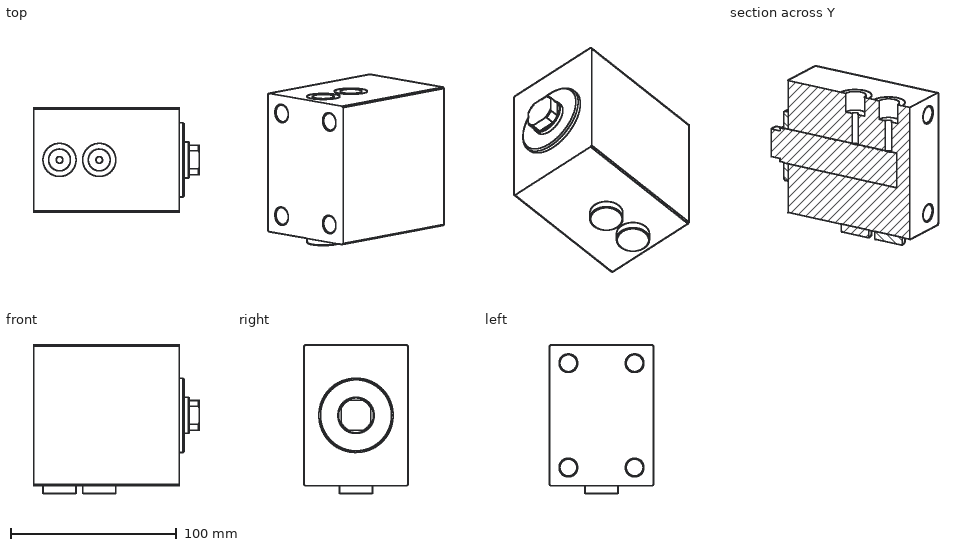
import cadquery as cq
import math


BLOCK_LENGTH = 88
BLOCK_WIDTH = 63
BLOCK_HEIGHT = 85
LONG_EDGE_CHAMFER = 0.8
TOP_Z = BLOCK_HEIGHT / 2
BOTTOM_Z = -TOP_Z

BOLT_SPACING_Y = 40
BOLT_SPACING_Z = 63
BOLT_DIAMETER = 10.2
BOLT_MOUTH_DIAMETER = 11.2
BOLT_DEPTH = 25
DRILL_POINT_ANGLE = 118

FIRST_PORT_X = 15.6
PORT_SPACING = 24
PORT_STATIONS = (FIRST_PORT_X, FIRST_PORT_X + PORT_SPACING)
SPOTFACE_DIAMETER = 20
SPOTFACE_DEPTH = 0.1
PORT_DIAMETER = 13.2
PORT_DEPTH = 12
OIL_WAY_DIAMETER = 4

PLUG_THICKNESS = 5
PLUG_CHAMFER = 0.5

GLAND_DIAMETER = 44.9
GLAND_THICKNESS = 3
GLAND_CHAMFER = 1

ROD_DIAMETER = 21.9
ROD_REAR_X = 10
ROD_SHOULDER_X = BLOCK_LENGTH + 5.8
ROD_SHOULDER_CHAMFER = 0.4
ROD_END_X = BLOCK_LENGTH + 12
WRENCH_DIAMETER = 21
WRENCH_FLATS = 18
WRENCH_CHAMFER = 0.5


def cylinder_x(diameter, start_x, end_x):
    """Cylinder on the X axis."""
    return cq.Workplane("YZ", origin=(start_x, 0, 0)).circle(diameter / 2).extrude(end_x - start_x)


def cylinder_z(diameter, x, start_z, end_z):
    """Upright cylinder in the middle plane of the block."""
    return cq.Workplane("XY", origin=(x, 0, start_z)).circle(diameter / 2).extrude(end_z - start_z)


def bolt_hole_cutter():
    """Drilled hole along +X with a chamfered mouth and a conical bottom."""
    radius = BOLT_DIAMETER / 2
    mouth_radius = BOLT_MOUTH_DIAMETER / 2
    point_length = radius / math.tan(math.radians(DRILL_POINT_ANGLE / 2))
    return (
        cq.Workplane("XY")
        .moveTo(0, 0)
        .lineTo(0, mouth_radius)
        .lineTo(mouth_radius - radius, radius)
        .lineTo(BOLT_DEPTH, radius)
        .lineTo(BOLT_DEPTH + point_length, 0)
        .close()
        .revolve(360, (0, 0, 0), (1, 0, 0))
    )


def port_cutter(x):
    """Spotface, threaded port and the narrow oil way down to the rod bore."""
    spotface = cylinder_z(SPOTFACE_DIAMETER, x, TOP_Z - SPOTFACE_DEPTH, TOP_Z)
    port = cylinder_z(PORT_DIAMETER, x, TOP_Z - PORT_DEPTH, TOP_Z)
    oil_way = cylinder_z(OIL_WAY_DIAMETER, x, 0, TOP_Z)
    return spotface.union(port).union(oil_way)


def make_block():
    block = cq.Workplane("XY").box(BLOCK_LENGTH, BLOCK_WIDTH, BLOCK_HEIGHT, centered=(False, True, True))
    block = block.edges("|X").chamfer(LONG_EDGE_CHAMFER)
    for side_y in (-1, 1):
        for side_z in (-1, 1):
            position = (0, side_y * BOLT_SPACING_Y / 2, side_z * BOLT_SPACING_Z / 2)
            block = block.cut(bolt_hole_cutter().translate(position))
    for x in PORT_STATIONS:
        plug_seat = cylinder_z(SPOTFACE_DIAMETER, x, BOTTOM_Z, BOTTOM_Z + SPOTFACE_DEPTH)
        block = block.cut(port_cutter(x)).cut(plug_seat)
    return block.cut(cylinder_x(ROD_DIAMETER, ROD_REAR_X, BLOCK_LENGTH))


def make_plug(x):
    """Round plug seated in a bottom spotface."""
    seat_z = BOTTOM_Z + SPOTFACE_DEPTH
    plug = cylinder_z(SPOTFACE_DIAMETER, x, seat_z - PLUG_THICKNESS, seat_z)
    return plug.faces("<Z").chamfer(PLUG_CHAMFER)


def make_gland():
    front_x = BLOCK_LENGTH + GLAND_THICKNESS
    gland = cylinder_x(GLAND_DIAMETER, BLOCK_LENGTH, front_x).faces(">X").chamfer(GLAND_CHAMFER)
    return gland.cut(cylinder_x(ROD_DIAMETER, BLOCK_LENGTH, front_x))


def make_rod():
    """Round rod whose reduced end is milled to a square with rounded corners."""
    shank = cylinder_x(ROD_DIAMETER, ROD_REAR_X, ROD_SHOULDER_X).faces(">X").chamfer(ROD_SHOULDER_CHAMFER)
    wrench_end = cylinder_x(WRENCH_DIAMETER, ROD_SHOULDER_X, ROD_END_X).faces(">X").chamfer(WRENCH_CHAMFER)
    square = (
        cq.Workplane("YZ", origin=(ROD_SHOULDER_X, 0, 0))
        .rect(WRENCH_FLATS, WRENCH_FLATS)
        .extrude(ROD_END_X - ROD_SHOULDER_X)
    )
    return shank.union(wrench_end.intersect(square))


block = make_block()
gland = make_gland()
rod = make_rod()
plugs = [make_plug(x) for x in PORT_STATIONS]

result = cq.Compound.makeCompound([block.val(), gland.val(), rod.val(), *[plug.val() for plug in plugs]])